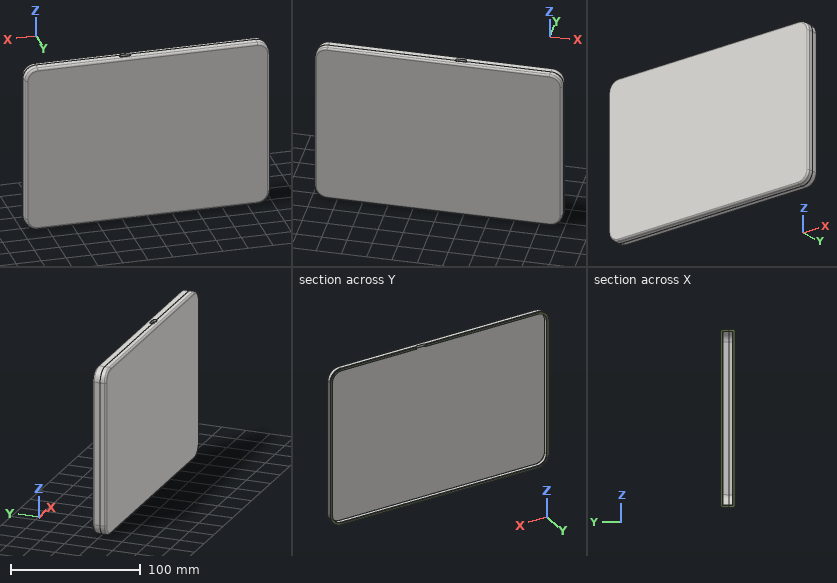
import cadquery as cq

width = 196.0
height = 138.0
corner_radius = 10.0
draft_angle = 2.0

total_depth = 11.5
front_depth = 4.9
back_depth = total_depth - front_depth

front_rim_radius = 1.5
back_rim_radius = 2.0
wall = 2.0

slot_width = 8.6
slot_height = 3.3
slot_x = 16.9
slot_y = 1.0


def drafted_block(block_width, block_height, block_depth, radius, outward):
    """Round-cornered block that grows from the parting plane and narrows with the draft."""
    parting_plane = cq.Plane(origin=(0, 0, 0), xDir=(1, 0, 0), normal=(0, outward, 0))
    outline = cq.Workplane(parting_plane).rect(block_width, block_height)
    block = outline.extrude(block_depth, taper=draft_angle)
    slanted_corners = block.edges("not(|X or |Z)")
    return slanted_corners.fillet(radius)


def hollow_half(depth, rim_radius, outward):
    """Half of the case with a rounded outer rim, hollowed from the parting plane.

    The half lies on the +Y side (outward = 1) or the -Y side (outward = -1) of that plane.
    """
    outer_face = ">Y" if outward > 0 else "<Y"
    shell = drafted_block(width, height, depth, corner_radius, outward)
    shell = shell.faces(outer_face).edges().fillet(rim_radius)
    cavity = drafted_block(
        width - 2 * wall, height - 2 * wall, depth - wall, corner_radius - wall, outward
    )
    return shell.cut(cavity)


def connector_slot():
    """Round-ended cutter that passes down through the top wall, across the parting plane."""
    cut_depth = 2 * wall
    return (
        cq.Workplane("XY", origin=(slot_x, slot_y, height / 2))
        .slot2D(slot_width, slot_height)
        .extrude(-cut_depth)
    )


slot_cutter = connector_slot()
front_cover = hollow_half(front_depth, front_rim_radius, -1).cut(slot_cutter)
back_cover = hollow_half(back_depth, back_rim_radius, 1).cut(slot_cutter)

result = cq.Compound.makeCompound([front_cover.val(), back_cover.val()])